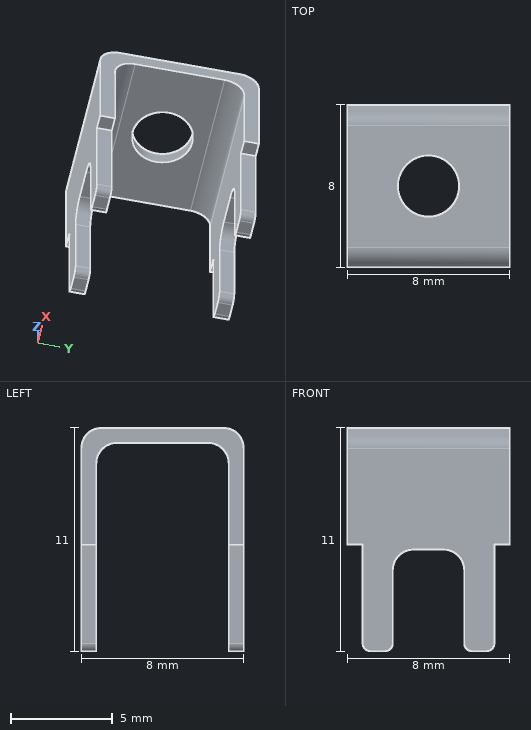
import cadquery as cq

width = 8.0
depth = 8.0
height = 11.0
sheet = 0.75
bend_outer_radius = 1.0
bend_inner_radius = 1.0
hole_diameter = 3.0
wall_height = 5.75
leg_width = 1.5
shoulder = 0.75
slot_height = 5.0
slot_radius = 1.0
tip_radius = 0.4

shoulder_z = height - wall_height
slot_width = width - 2 * (shoulder + leg_width)


def box_on_floor(size_x, size_y, size_z):
    """Box centred in X and Y, standing on Z = 0."""
    return cq.Workplane("XY").box(size_x, size_y, size_z, centered=(True, True, False))


def bent_channel():
    """Sheet bent into an inverted U, open along X."""
    outer = box_on_floor(width, depth, height)
    outer = outer.edges("|X and >Z").fillet(bend_outer_radius)
    inner = box_on_floor(width, depth - 2 * sheet, height - sheet)
    inner = inner.edges("|X and >Z").fillet(bend_inner_radius)
    return outer.cut(inner)


def wall_outline():
    """Front outline of both walls, with shoulders and two legs, through the full depth."""
    wall = box_on_floor(width, depth, wall_height).translate((0, 0, shoulder_z))
    legs_block = box_on_floor(width - 2 * shoulder, depth, height)
    slot = box_on_floor(slot_width, depth, slot_height)
    slot = slot.edges("|Y and >Z").fillet(slot_radius)
    outline = wall.union(legs_block).cut(slot)
    return outline.faces("<Z").edges("|Y").fillet(tip_radius)


def top_hole():
    """Screw hole through the top plate."""
    return cq.Workplane("XY").circle(hole_diameter / 2).extrude(height)


result = bent_channel().intersect(wall_outline()).cut(top_hole())